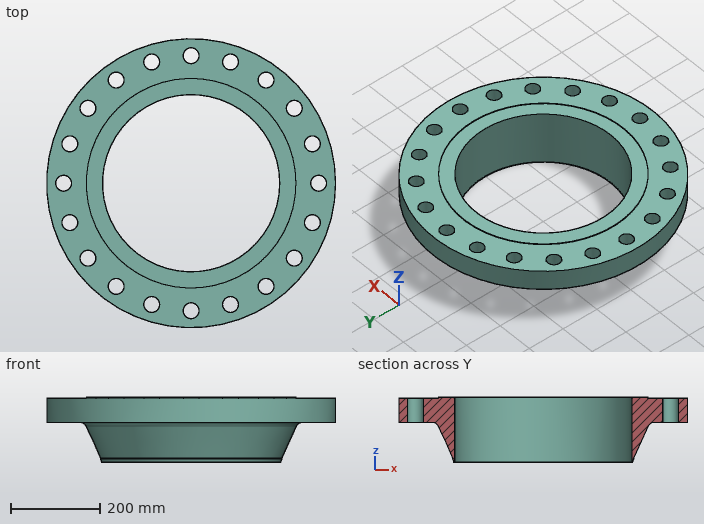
import cadquery as cq

flange_diameter = 648.0
total_height = 146.0
face_height = 2.0
flange_thickness = 55.0
bore_diameter = 396.5
face_diameter = 469.5

neck_end_diameter = 401.5
neck_diameter = 407.0
bevel_height = 7.0
neck_land_height = 2.0
hub_diameter = 479.0
hub_fillet = 13.0

bolt_count = 20
bolt_circle_diameter = 571.0
bolt_hole_diameter = 35.0

flange_top = total_height - face_height
flange_bottom = flange_top - flange_thickness


def make_body():
    """Revolve the half section of flange, raised face and tapered neck about Z."""
    section = (
        cq.Workplane("XZ")
        .moveTo(bore_diameter / 2, 0)
        .lineTo(neck_end_diameter / 2, 0)
        .lineTo(neck_diameter / 2, bevel_height)
        .lineTo(neck_diameter / 2, bevel_height + neck_land_height)
        .lineTo(hub_diameter / 2, flange_bottom)
        .lineTo(flange_diameter / 2, flange_bottom)
        .lineTo(flange_diameter / 2, flange_top)
        .lineTo(face_diameter / 2, flange_top)
        .lineTo(face_diameter / 2, total_height)
        .lineTo(bore_diameter / 2, total_height)
        .close()
    )
    return section.revolve(360, (0, 0, 0), (0, 1, 0))


def round_hub_root(body):
    """Blend the tapered neck into the underside of the flange."""
    margin = 0.5
    reach = hub_diameter / 2 + margin
    root_edge = cq.selectors.BoxSelector(
        (-reach, -reach, flange_bottom - margin),
        (reach, reach, flange_bottom + margin),
        boundingbox=True,
    )
    return body.edges(root_edge).edges("%CIRCLE").fillet(hub_fillet)


def make_bolt_holes():
    """Cylinders evenly spaced on the bolt circle, one of them on the +X axis."""
    return (
        cq.Workplane("XY")
        .workplane(offset=flange_bottom)
        .polarArray(bolt_circle_diameter / 2, 0, 360, bolt_count)
        .circle(bolt_hole_diameter / 2)
        .extrude(flange_thickness)
    )


result = round_hub_root(make_body()).cut(make_bolt_holes())